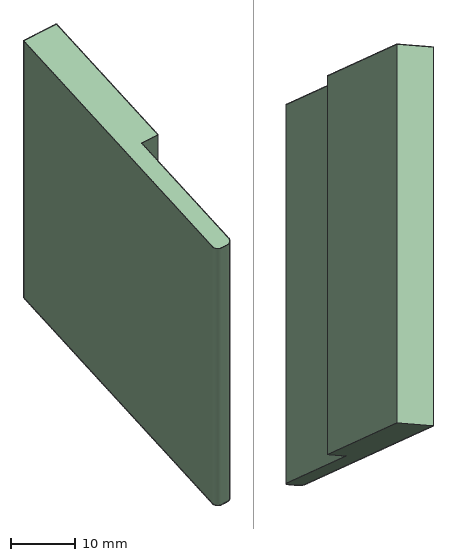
import cadquery as cq

length = 53.0
height = 60.0

body_thickness = 6.2
tongue_thickness = body_thickness / 2
body_length = 28.0

tip_radius = 1.0


def stepped_plate():
    """Plate with a flat front face and a step in its back face."""
    return (
        cq.Workplane("XY")
        .moveTo(0, 0)
        .lineTo(length, 0)
        .lineTo(length, tongue_thickness)
        .lineTo(body_length, tongue_thickness)
        .lineTo(body_length, body_thickness)
        .lineTo(0, body_thickness)
        .close()
        .extrude(height)
    )


def round_tongue_tip(plate):
    """Round both upright edges at the free end of the tongue."""
    return plate.faces(">X").edges("|Z").fillet(tip_radius)


result = round_tongue_tip(stepped_plate())